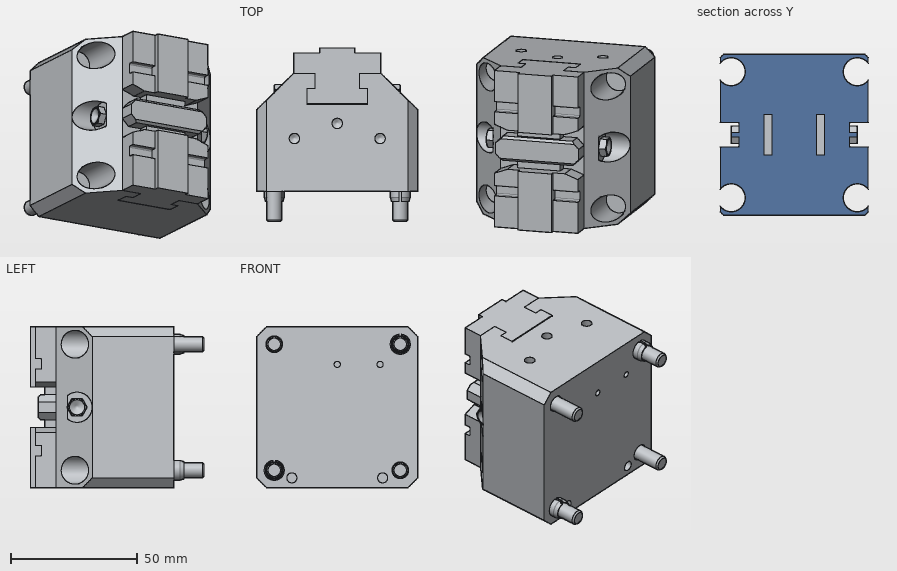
import cadquery as cq
import math

body_size = 64.0
corner_chamfer = 4.0
shoulder_y = 32.4
body_depth = 46.85
flank_top_half = 17.35

neck_width = 17.7
foot_width = 24.0
foot_top_y = 40.8
foot_bottom_y = 34.9
slot_floor_y = 34.6
jaw_width = 2 * flank_top_half
jaw_shoulder_y = 55.0
tongue_width = 14.0
tongue_top_y = 57.0
jaw_gap = 16.0
jaw_end_z = 32.015
jaw_bevel_height = 2.0
jaw_bevel_length = 5.4
groove_z = 17.2
groove_width = 4.2
groove_depth = 2.5
groove_fillet = 0.5

centre_top_y = 51.3
bar_top_y = 53.9
bar_height = 10.0
bar_end_face_height = 4.2
bar_bevel_length = (bar_height - bar_end_face_height) / 2
bar_top_chamfer = 1.0

drive_y = 38.45
drive_end_x = 25.0
drive_flats = 7.0
drive_tip_diameter = 7.0
drive_tip_angle = 30.0
drive_dimple_diameter = 6.0
drive_recess_diameter = 12.0
drive_recess_floor_x = 22.0

bolt_offset = 25.0
bolt_diameter = 6.0
bolt_tip_diameter = 4.92
bolt_tip_length = 0.75
bolt_clearance_diameter = 6.6
bolt_projection = 12.0
bolt_head_seat_y = 20.0
counterbore_diameter = 11.0
bolt_head_diameter = 10.0
bolt_head_height = 6.0
sleeve_diameter = 8.0
sleeve_tip_diameter = 7.0
sleeve_straight = 2.3
sleeve_projection = 4.0
sleeve_slit_width = 0.9

small_hole_diameter = 2.46
small_hole_depth = 6.0
small_hole_points = [(0, 17), (17, 17)]
pin_hole_diameter = 4.0
pin_hole_depth = 8.0
pin_hole_points = [(-18, -28), (18, -28)]
top_hole_diameter = 4.13
top_hole_depth = 10.0
top_hole_points = [(-17, 21), (0, 27), (17, 21)]
drill_point_angle = 118.0


def cylinder_y(x, z, diameter, y_start, y_end):
    """Cylinder along Y from y_start to y_end."""
    start = cq.Vector(x, y_start, z)
    return cq.Workplane(cq.Solid.makeCylinder(diameter / 2, y_end - y_start, start, cq.Vector(0, 1, 0)))


def cone_y(x, z, tip_diameter, base_diameter, y_tip, y_base):
    """Cone frustum along Y, widening from y_tip to y_base."""
    start = cq.Vector(x, y_tip, z)
    cone = cq.Solid.makeCone(tip_diameter / 2, base_diameter / 2, y_base - y_tip, start, cq.Vector(0, 1, 0))
    return cq.Workplane(cone)


def drill_point_length(diameter):
    return diameter / 2 / math.tan(math.radians(drill_point_angle / 2))


def extruded_in_z(points, z_start, z_end):
    """Closed XY outline extruded between two heights."""
    return cq.Workplane("XY").workplane(offset=z_start).polyline(points).close().extrude(z_end - z_start)


def mirrored_outline(half):
    """Close a right-hand half outline with its mirror image about X = 0."""
    return half + [(-x, y) for x, y in reversed(half)]


def block(x_range, y_range, z_range):
    """Axis-aligned box from its limits."""
    size = [high - low for low, high in (x_range, y_range, z_range)]
    middle = [(high + low) / 2 for low, high in (x_range, y_range, z_range)]
    return cq.Workplane("XY").box(*size).translate(tuple(middle))


def make_body():
    half = body_size / 2
    plan = extruded_in_z(
        mirrored_outline([(half, 0), (half, shoulder_y), (flank_top_half, body_depth)]), -half, half
    )
    octagon = (
        cq.Workplane("XY").box(body_size, body_depth, body_size)
        .edges("|Y").chamfer(corner_chamfer)
        .translate((0, body_depth / 2, 0))
    )
    slot = extruded_in_z(
        mirrored_outline([
            (foot_width / 2, slot_floor_y),
            (foot_width / 2, foot_top_y),
            (neck_width / 2, foot_top_y),
            (neck_width / 2, body_depth),
        ]),
        -half,
        half,
    )
    return plan.intersect(octagon).cut(slot)


def make_upper_jaw():
    inner_z = jaw_gap / 2
    jaw = extruded_in_z(
        mirrored_outline([
            (foot_width / 2, foot_bottom_y),
            (foot_width / 2, foot_top_y),
            (neck_width / 2, foot_top_y),
            (neck_width / 2, body_depth),
            (jaw_width / 2, body_depth),
            (jaw_width / 2, jaw_shoulder_y),
            (tongue_width / 2, jaw_shoulder_y),
            (tongue_width / 2, tongue_top_y),
        ]),
        inner_z,
        jaw_end_z,
    )
    for side in (-1, 1):
        edge_x = side * jaw_width / 2
        bevel = (
            cq.Workplane("XZ")
            .polyline([
                (edge_x, inner_z),
                (edge_x, inner_z + jaw_bevel_height),
                (edge_x - side * jaw_bevel_length, inner_z),
            ])
            .close()
            .extrude(-tongue_top_y)
        )
        groove_floor_y = jaw_shoulder_y - groove_depth
        groove = block(
            sorted((edge_x, side * tongue_width / 2)),
            (groove_floor_y, jaw_shoulder_y),
            (groove_z - groove_width / 2, groove_z + groove_width / 2),
        ).faces("<Y").edges("|X").fillet(groove_fillet)
        jaw = jaw.cut(bevel).cut(groove)
    return jaw


def make_centre_piece():
    """Neck-wide block in the slot with a bevelled cross bar on top."""
    half_gap = jaw_gap / 2
    neck = block((-neck_width / 2, neck_width / 2), (slot_floor_y, centre_top_y), (-half_gap, half_gap))
    bar_half_height = bar_height / 2
    limits = ((-jaw_width / 2, jaw_width / 2), (body_depth, bar_top_y), (-bar_half_height, bar_half_height))
    top_chamfered = block(*limits).faces(">Y").edges("|X").chamfer(bar_top_chamfer)
    end_bevelled = (
        cq.Workplane("XZ")
        .polyline([
            (jaw_width / 2, -bar_end_face_height / 2),
            (jaw_width / 2, bar_end_face_height / 2),
            (jaw_width / 2 - bar_bevel_length, bar_half_height),
            (bar_bevel_length - jaw_width / 2, bar_half_height),
            (-jaw_width / 2, bar_end_face_height / 2),
            (-jaw_width / 2, -bar_end_face_height / 2),
            (bar_bevel_length - jaw_width / 2, -bar_half_height),
            (jaw_width / 2 - bar_bevel_length, -bar_half_height),
        ])
        .close()
        .extrude(-bar_top_y)
    )
    bar = top_chamfered.intersect(end_bevelled)
    return neck.union(bar)


def revolved_about_x(section, side):
    """Revolve (distance out of the recess floor, radius) points about the spindle axis."""
    points = [(side * (drive_recess_floor_x + out), drive_y + radius) for out, radius in section]
    profile = cq.Workplane("XY").polyline(points).close()
    return profile.revolve(360, (0, drive_y, 0), (1, drive_y, 0))


def add_spindle_drives(part):
    """Dimpled hexagonal spindle ends standing in round recesses in both sloped flanks."""
    corner_radius = drive_flats / 2 / math.cos(math.pi / 6)
    drive_length = drive_end_x - drive_recess_floor_x
    tip_radius = drive_tip_diameter / 2
    tip_length = (corner_radius - tip_radius) * math.tan(math.radians(drive_tip_angle))
    dimple_radius = drive_dimple_diameter / 2
    dimple_bottom = drive_length - drill_point_length(drive_dimple_diameter)
    for side in (-1, 1):
        plane = cq.Plane(
            origin=(side * drive_recess_floor_x, drive_y, 0), xDir=(0, 1, 0), normal=(side, 0, 0)
        )
        recess = cq.Workplane(plane).circle(drive_recess_diameter / 2).extrude(body_size / 2)
        hexagon = cq.Workplane(plane).polygon(6, 2 * corner_radius).extrude(drive_length)
        envelope = revolved_about_x(
            [
                (0, 0),
                (0, corner_radius),
                (drive_length - tip_length, corner_radius),
                (drive_length, tip_radius),
                (drive_length, 0),
            ],
            side,
        )
        dimple = revolved_about_x(
            [(dimple_bottom, 0), (drive_length, dimple_radius), (drive_length, 0)],
            side,
        )
        part = part.cut(recess).union(hexagon.intersect(envelope)).cut(dimple)
    return part


def add_bolt(part, x, z):
    """Counterbored clearance hole holding a cap screw that projects from the mounting face."""
    head_end_y = bolt_head_seat_y + bolt_head_height
    shank_end_y = bolt_tip_length - bolt_projection
    part = part.cut(cylinder_y(x, z, bolt_clearance_diameter, 0, bolt_head_seat_y))
    part = part.cut(cylinder_y(x, z, counterbore_diameter, bolt_head_seat_y, body_depth))
    part = part.union(cylinder_y(x, z, bolt_head_diameter, bolt_head_seat_y, head_end_y))
    part = part.union(cylinder_y(x, z, bolt_diameter, shank_end_y, bolt_head_seat_y))
    tip = cone_y(x, z, bolt_tip_diameter, bolt_diameter, -bolt_projection, shank_end_y)
    return part.union(tip)


def make_sleeve(x, z):
    """Tapered locating sleeve around a bolt, slit on its upper side."""
    sleeve = cylinder_y(x, z, sleeve_diameter, -sleeve_straight, 0)
    taper = cone_y(x, z, sleeve_tip_diameter, sleeve_diameter, -sleeve_projection, -sleeve_straight)
    slit = block(
        (x - sleeve_slit_width / 2, x + sleeve_slit_width / 2),
        (-sleeve_projection, 0),
        (z, z + sleeve_diameter / 2),
    )
    bore = cylinder_y(x, z, bolt_clearance_diameter, -sleeve_projection, 0)
    return sleeve.union(taper).cut(slit).cut(bore)


def cut_small_holes(part):
    for x, z in small_hole_points:
        part = part.cut(cylinder_y(x, z, small_hole_diameter, 0, small_hole_depth))
    for x, z in pin_hole_points:
        part = part.cut(cylinder_y(x, z, pin_hole_diameter, 0, pin_hole_depth))
    top_z = body_size / 2
    down = cq.Vector(0, 0, -1)
    for x, y in top_hole_points:
        radius = top_hole_diameter / 2
        bore = cq.Solid.makeCylinder(radius, top_hole_depth, cq.Vector(x, y, top_z), down)
        point_start = cq.Vector(x, y, top_z - top_hole_depth)
        point = cq.Solid.makeCone(radius, 0, drill_point_length(top_hole_diameter), point_start, down)
        part = part.cut(cq.Workplane(bore)).cut(cq.Workplane(point))
    return part


upper_jaw = make_upper_jaw()
result = make_body().union(make_centre_piece()).union(upper_jaw).union(upper_jaw.mirror("XY"))
result = add_spindle_drives(result)
for bolt_x in (-bolt_offset, bolt_offset):
    for bolt_z in (-bolt_offset, bolt_offset):
        result = add_bolt(result, bolt_x, bolt_z)
        if bolt_x == bolt_z:
            result = result.union(make_sleeve(bolt_x, bolt_z))
result = cut_small_holes(result)